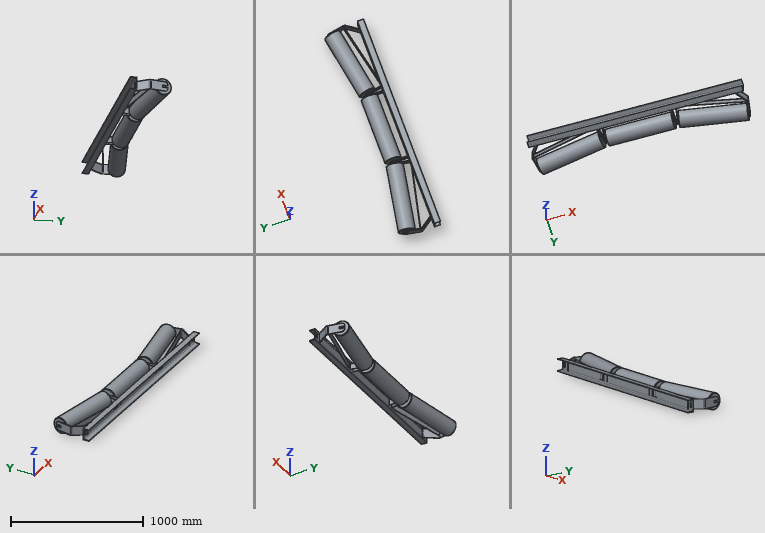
import cadquery as cq
import math

overall_length = 1711
overall_depth = 327.0

channel_length = 1699.0
channel_depth = 50.0
channel_height = 100.0
web_thickness = 5.0
flange_tip_thickness = 6.2
flange_root_thickness = 10.0
toe_radius = 4.8
root_radius = 9.0
slot_width = 15.0
slot_height = 36.0
slot_spacing = 1640.0

tilt = 10
roller_diameter = 133.0
roller_length = 530
roller_edge = 5.0
shaft_diameter = 20.0
shaft_flat_width = 15.0
shaft_length = 555.0
middle_roller_y = 118.0

outer_bar_width = 77.0
inner_bar_width = 50.0
outer_bar = 9.0
outer_bend_radius = 20.0
outer_bend_y = 106.0
arm_top_y = 248.0
arm_corner_radius = 27.0
leg_lean = 35
inner_bar = 6.0
inner_top_y = 149.0

brace_width = inner_bar_width
brace_thickness = 5.0
brace_slope = 12.5
brace_foot_x = -334.0

tilt_cos = math.cos(math.radians(tilt))
tilt_sin = math.sin(math.radians(tilt))
shaft_reach = shaft_length / 2
outer_bend_x = outer_bend_radius - overall_length / 2
drum_rim_rise = (roller_length / 2 - roller_edge) * tilt_sin + roller_diameter / 2 * tilt_cos
side_roller_y = overall_depth - channel_depth - drum_rim_rise
side_roller_x = outer_bend_x + (
    shaft_reach - outer_bend_radius + (side_roller_y - outer_bend_y) * tilt_sin
) / tilt_cos
inner_bend_radius = (
    (-shaft_reach - side_roller_x) * tilt_cos
    + (side_roller_y - inner_top_y + inner_bar) * tilt_sin
    - shaft_reach
) / (1 + tilt_cos - tilt_sin)
inner_bend_x = -shaft_reach - inner_bend_radius
inner_bend_y = inner_top_y - inner_bar - inner_bend_radius


def place_side(body):
    """Move a body from the roller's own frame (axis along X) to the -X side roller."""
    return body.rotate((0, 0, 0), (0, 0, 1), -tilt).translate((side_roller_x, side_roller_y, 0))


def place_middle(body):
    """Move a body from the roller's own frame to the middle roller."""
    return body.translate((0, middle_roller_y, 0))


def both_sides(body):
    """The body on the -X side and its mirror image on the +X side."""
    return [body, body.mirror("YZ")]


def bend_point(bend_x, bend_y, radius, angle):
    """Point on a bend circle at an angle from +X, in degrees."""
    return (
        bend_x + radius * math.cos(math.radians(angle)),
        bend_y + radius * math.sin(math.radians(angle)),
    )


def slide_to_y(point, angle, y):
    """Where the tangent at a bend point with the given angle meets a height y."""
    return (point[0] - (y - point[1]) * math.tan(math.radians(angle)), y)


def make_channel():
    half_height = channel_height / 2
    hollow_tip = half_height - flange_tip_thickness
    hollow_root = half_height - flange_root_thickness
    hollow = (
        cq.Workplane("YZ", origin=(-channel_length / 2, 0, 0))
        .polyline(
            [
                (-web_thickness, hollow_root),
                (-channel_depth, hollow_tip),
                (-channel_depth, -hollow_tip),
                (-web_thickness, -hollow_root),
            ]
        )
        .close()
        .extrude(channel_length)
        .edges("|X and >Y")
        .fillet(root_radius)
    )
    slots = (
        cq.Workplane("XZ")
        .rarray(slot_spacing, 17, 2, 1)
        .slot2D(slot_height, slot_width, 90)
        .extrude(channel_depth)
    )
    channel = (
        cq.Workplane("XY")
        .box(channel_length, channel_depth, channel_height)
        .translate((0, -channel_depth / 2, 0))
        .cut(hollow)
    )
    toes = cq.selectors.BoxSelector(
        (-channel_length, -channel_depth - toe_radius, -hollow_tip - toe_radius / 2),
        (channel_length, -channel_depth + toe_radius, hollow_tip + toe_radius / 2),
    )
    return channel.edges("|X").edges(toes).fillet(toe_radius).cut(slots)


def make_roller():
    """Drum and shaft in one, axis along X; the shaft ends have two flats."""
    drum = (
        cq.Workplane("YZ", origin=(-roller_length / 2, 0, 0))
        .circle(roller_diameter / 2)
        .extrude(roller_length)
        .edges()
        .chamfer(roller_edge)
    )
    flats = cq.Workplane("XY").box(shaft_length, shaft_diameter, shaft_flat_width)
    shaft = (
        cq.Workplane("YZ", origin=(-shaft_reach, 0, 0))
        .circle(shaft_diameter / 2)
        .extrude(shaft_length)
    )
    return drum.union(shaft.intersect(flats))


def make_shaft_notch():
    """Cutter for open notches around both shaft ends, in the roller's own frame."""
    return cq.Workplane("XY").box(
        2 * shaft_length, shaft_diameter / 2 + roller_diameter, shaft_flat_width
    ).translate((0, (roller_diameter - shaft_diameter / 2) / 2, 0))


def make_outer_bracket():
    """Arm behind the raised end of a side roller, bent into a leg that stands on the channel."""
    arm_angle = 180 - tilt
    leg_angle = 180 + leg_lean
    mid_angle = (arm_angle + leg_angle) / 2
    inside_radius = outer_bend_radius - outer_bar

    def outside(angle):
        return bend_point(outer_bend_x, outer_bend_y, outer_bend_radius, angle)

    def inside(angle):
        return bend_point(outer_bend_x, outer_bend_y, inside_radius, angle)

    arm_tip = slide_to_y(outside(arm_angle), -tilt, arm_top_y)
    arm_tip_inside = (arm_tip[0] + outer_bar * tilt_cos, arm_tip[1] - outer_bar * tilt_sin)
    bracket = (
        cq.Workplane("XY", origin=(0, 0, -outer_bar_width / 2))
        .moveTo(*arm_tip)
        .lineTo(*outside(arm_angle))
        .threePointArc(outside(mid_angle), outside(leg_angle))
        .lineTo(*slide_to_y(outside(leg_angle), leg_lean, 0))
        .lineTo(*slide_to_y(inside(leg_angle), leg_lean, 0))
        .lineTo(*inside(leg_angle))
        .threePointArc(inside(mid_angle), inside(arm_angle))
        .lineTo(*arm_tip_inside)
        .close()
        .extrude(outer_bar_width)
    )
    plate_normal = cq.Vector(-tilt_cos, tilt_sin, 0)
    bracket = bracket.edges(cq.selectors.ParallelDirSelector(plate_normal)).fillet(arm_corner_radius)
    return bracket.cut(place_side(make_shaft_notch()))


def make_inner_bracket():
    """Bar folded over between two rollers, with an upright leg and a leaning leg."""
    lean_angle = 180 - tilt
    outside_radius = inner_bend_radius + inner_bar

    def outside(angle):
        return bend_point(inner_bend_x, inner_bend_y, outside_radius, angle)

    def inside(angle):
        return bend_point(inner_bend_x, inner_bend_y, inner_bend_radius, angle)

    bracket = (
        cq.Workplane("XY", origin=(0, 0, -inner_bar_width / 2))
        .moveTo(*slide_to_y(outside(0), 0, 0))
        .lineTo(*outside(0))
        .threePointArc(outside(lean_angle / 2), outside(lean_angle))
        .lineTo(*slide_to_y(outside(lean_angle), -tilt, 0))
        .lineTo(*slide_to_y(inside(lean_angle), -tilt, 0))
        .lineTo(*inside(lean_angle))
        .threePointArc(inside(lean_angle / 2), inside(0))
        .lineTo(*slide_to_y(inside(0), 0, 0))
        .close()
        .extrude(inner_bar_width)
    )
    notch = make_shaft_notch()
    return bracket.cut(place_middle(notch)).cut(place_side(notch))


def make_brace(bracket):
    """Sloping bar from the inside of an outer bracket to the channel."""
    rise = math.tan(math.radians(brace_slope))
    upright_thickness = brace_thickness / math.cos(math.radians(brace_slope))
    end_x = (outer_bar - overall_length) / 2
    end_y = (brace_foot_x - end_x) * rise
    brace = (
        cq.Workplane("XY", origin=(0, 0, -brace_width / 2))
        .polyline(
            [
                (end_x, end_y),
                (brace_foot_x, 0),
                (brace_foot_x - upright_thickness / rise, 0),
                (end_x, end_y - upright_thickness),
            ]
        )
        .close()
        .extrude(brace_width)
    )
    return brace.cut(bracket)


channel = make_channel()
roller = make_roller()
middle_roller = place_middle(roller)
side_rollers = both_sides(place_side(roller))
outer_bracket = make_outer_bracket()
outer_brackets = both_sides(outer_bracket)
inner_brackets = both_sides(make_inner_bracket())
braces = both_sides(make_brace(outer_bracket))

bodies = [channel, middle_roller, *side_rollers, *outer_brackets, *inner_brackets, *braces]
result = cq.Compound.makeCompound([body.val() for body in bodies])